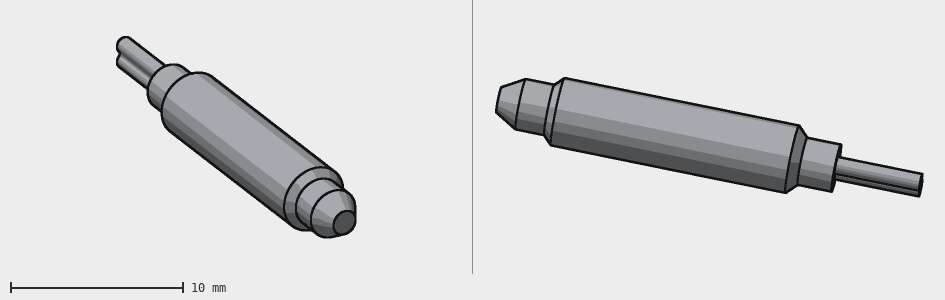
import cadquery as cq
import math

wire_length = 5.0
sleeve_length = 2.0
body_end = 21.5
shoulder_end = 22.0
total_length = 25.0

sleeve_radius = 2.8 / 2
body_radius = 4.0 / 2
nose_radius = 3.0 / 2
tip_radius = 0.75
tip_taper_angle = 30.0

strand_radius = 0.5
groove_radius = 0.25

sleeve_end = wire_length + sleeve_length
body_start = sleeve_end + body_radius - sleeve_radius
tip_length = (nose_radius - tip_radius) / math.tan(math.radians(tip_taper_angle))
tip_start = total_length - tip_length


def make_body():
    """Sleeve, chamfered barrel, nose and conical tip, revolved about X."""
    half_section = (
        cq.Workplane("XY")
        .moveTo(wire_length, 0)
        .lineTo(wire_length, sleeve_radius)
        .lineTo(sleeve_end, sleeve_radius)
        .lineTo(body_start, body_radius)
        .lineTo(body_end, body_radius)
        .lineTo(shoulder_end, nose_radius)
        .lineTo(tip_start, nose_radius)
        .lineTo(total_length, tip_radius)
        .lineTo(total_length, 0)
        .close()
    )
    return half_section.revolve(360, (0, 0, 0), (1, 0, 0))


def make_twin_wire():
    """Figure-eight section with strands stacked along Z, extruded along X."""
    center_distance = strand_radius + groove_radius
    groove_center_y = math.sqrt(center_distance**2 - strand_radius**2)
    neck_y = groove_center_y - groove_radius
    tangent_y = groove_center_y * strand_radius / center_distance
    tangent_z = strand_radius * groove_radius / center_distance
    outer_z = 2 * strand_radius

    section = (
        cq.Workplane("YZ")
        .moveTo(tangent_y, tangent_z)
        .threePointArc((0, outer_z), (-tangent_y, tangent_z))
        .threePointArc((-neck_y, 0), (-tangent_y, -tangent_z))
        .threePointArc((0, -outer_z), (tangent_y, -tangent_z))
        .threePointArc((neck_y, 0), (tangent_y, tangent_z))
        .close()
    )
    return section.extrude(wire_length)


result = make_body().union(make_twin_wire())